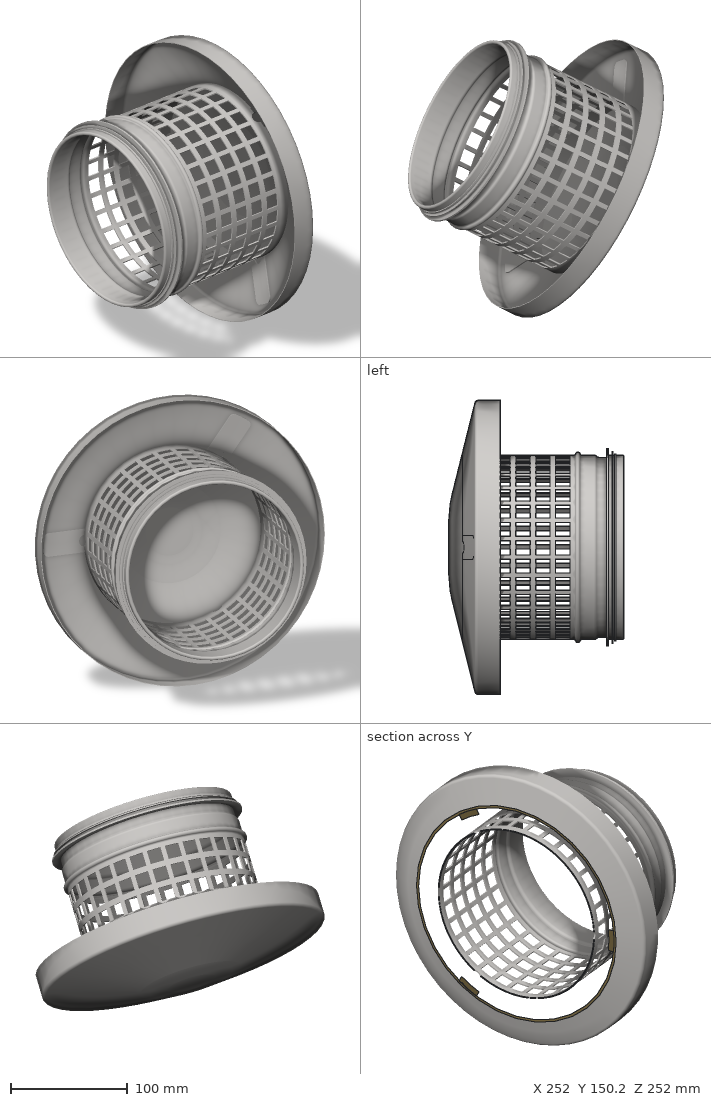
import cadquery as cq
import math


TOTAL_HEIGHT = 150.2

HOOD_RADIUS = 126.0
HOOD_SHEET = 0.63
HOOD_RIM_Y = 105.8
HOOD_SLOPE = math.radians(14)
CROWN_FLAT_RADIUS = 21.2
CROWN_ARC_END_RADIUS = 44.9
HOOD_EDGE_BEND = 3.0

TUBE_RADIUS = 79.0
TUBE_WALL = 1.3
TUBE_INNER_RADIUS = TUBE_RADIUS - TUBE_WALL
NECK_RADIUS = 77.0
NECK_INNER_RADIUS = NECK_RADIUS - TUBE_WALL
HEM_BEND = 1.5
HEM_TOP_Y = 6.8
SHOULDER_BOTTOM_Y = 21.5
SHOULDER_TOP_Y = 25.5
BEAD_Y = 39.45
BEAD_HALF_WIDTH = 3.4
BEAD_HEIGHT = 2.65
BEAD_CREST_BEND = 2.0

WINDOW_SIZE = 12.0
WINDOW_PITCH = 17.0
WINDOW_ROWS = 5
WINDOWS_PER_ROW = 31
FIRST_WINDOW_Y = 52.5
FIRST_WINDOW_ANGLE = 6.1

STRAP_ANGLES = (60, 180, 300)
STRAP_WIDTH = 20.55
STRAP_END_RADIUS = 117.7
STRAP_CORNER = 5.0
BEND_HOLE_RADIUS = 5.0

SEAL_TOP_Y = 14.9
SEAL_LIPS = ((6.8, 8.3, 80.0), (9.45, 10.2, 82.2), (13.4, SEAL_TOP_Y, 84.7))

CROWN_BEND = (CROWN_ARC_END_RADIUS - CROWN_FLAT_RADIUS) / math.sin(HOOD_SLOPE)
CROWN_CENTRE = (CROWN_FLAT_RADIUS, TOTAL_HEIGHT - CROWN_BEND)
EDGE_CENTRE_RADIUS = HOOD_RADIUS - HOOD_EDGE_BEND
EDGE_CENTRE = (
    EDGE_CENTRE_RADIUS,
    CROWN_CENTRE[1]
    + (CROWN_BEND - HOOD_EDGE_BEND) / math.cos(HOOD_SLOPE)
    - (EDGE_CENTRE_RADIUS - CROWN_FLAT_RADIUS) * math.tan(HOOD_SLOPE),
)
CONE_ANGLE = math.pi / 2 - HOOD_SLOPE


def on_circle(centre, radius, angle):
    """Point of a circle at an angle measured from the outward radial direction."""
    return (centre[0] + radius * math.cos(angle), centre[1] + radius * math.sin(angle))


def arc_points(centre, radius, start, end):
    """Middle and end point of an arc."""
    return on_circle(centre, radius, (start + end) / 2), on_circle(centre, radius, end)


def revolve(profile):
    return profile.close().revolve(360, (0, 0, 0), (0, 1, 0))


def hood_underside_y(radius):
    """Height of the conical underside of the hood."""
    return (
        CROWN_CENTRE[1]
        + (CROWN_BEND - HOOD_SHEET) / math.cos(HOOD_SLOPE)
        - (radius - CROWN_FLAT_RADIUS) * math.tan(HOOD_SLOPE)
    )


def make_hood():
    crown_inner = CROWN_BEND - HOOD_SHEET
    edge_inner = HOOD_EDGE_BEND - HOOD_SHEET
    profile = (
        cq.Workplane("XY")
        .moveTo(0, TOTAL_HEIGHT)
        .lineTo(CROWN_FLAT_RADIUS, TOTAL_HEIGHT)
        .threePointArc(*arc_points(CROWN_CENTRE, CROWN_BEND, math.pi / 2, CONE_ANGLE))
        .lineTo(*on_circle(EDGE_CENTRE, HOOD_EDGE_BEND, CONE_ANGLE))
        .threePointArc(*arc_points(EDGE_CENTRE, HOOD_EDGE_BEND, CONE_ANGLE, 0))
        .lineTo(HOOD_RADIUS, HOOD_RIM_Y)
        .lineTo(HOOD_RADIUS - HOOD_SHEET, HOOD_RIM_Y)
        .lineTo(*on_circle(EDGE_CENTRE, edge_inner, 0))
        .threePointArc(*arc_points(EDGE_CENTRE, edge_inner, 0, CONE_ANGLE))
        .lineTo(*on_circle(CROWN_CENTRE, crown_inner, CONE_ANGLE))
        .threePointArc(*arc_points(CROWN_CENTRE, crown_inner, CONE_ANGLE, math.pi / 2))
        .lineTo(0, TOTAL_HEIGHT - HOOD_SHEET)
    )
    return revolve(profile)


def make_tube_shell():
    """Plain tube, bead, shoulder, neck and rounded hem, without windows or straps."""
    tube_top = hood_underside_y(TUBE_RADIUS)

    inner_hem_centre = (NECK_INNER_RADIUS + HEM_BEND, HEM_BEND)
    outer_hem_centre = (TUBE_RADIUS - HEM_BEND, HEM_BEND)

    step = TUBE_RADIUS - NECK_RADIUS
    shoulder_length = SHOULDER_TOP_Y - SHOULDER_BOTTOM_Y
    shoulder_turn = 2 * math.atan(step / shoulder_length)
    shoulder_bend = shoulder_length / math.sin(shoulder_turn) / 2
    neck_bend_centre = (NECK_RADIUS + shoulder_bend, SHOULDER_BOTTOM_Y)
    tube_bend_centre = (TUBE_RADIUS - shoulder_bend, SHOULDER_TOP_Y)

    bead_turn = 2 * math.atan(BEAD_HEIGHT / BEAD_HALF_WIDTH)
    root_bend = BEAD_HALF_WIDTH / math.sin(bead_turn) - BEAD_CREST_BEND
    crest_centre = (TUBE_RADIUS + BEAD_HEIGHT - BEAD_CREST_BEND, BEAD_Y)
    lower_root_centre = (TUBE_RADIUS + root_bend, BEAD_Y - BEAD_HALF_WIDTH)
    upper_root_centre = (TUBE_RADIUS + root_bend, BEAD_Y + BEAD_HALF_WIDTH)

    back = math.pi
    profile = (
        cq.Workplane("XY")
        .moveTo(*on_circle(inner_hem_centre, HEM_BEND, back))
        .threePointArc(*arc_points(inner_hem_centre, HEM_BEND, back, 1.5 * back))
        .lineTo(outer_hem_centre[0], 0)
        .threePointArc(*arc_points(outer_hem_centre, HEM_BEND, -back / 2, 0))
        .lineTo(TUBE_RADIUS, HEM_TOP_Y)
        .lineTo(NECK_RADIUS, HEM_TOP_Y)
        .lineTo(NECK_RADIUS, SHOULDER_BOTTOM_Y)
        .threePointArc(*arc_points(neck_bend_centre, shoulder_bend, back, back - shoulder_turn))
        .threePointArc(*arc_points(tube_bend_centre, shoulder_bend, -shoulder_turn, 0))
        .lineTo(TUBE_RADIUS, BEAD_Y - BEAD_HALF_WIDTH)
        .threePointArc(*arc_points(lower_root_centre, root_bend, back, back - bead_turn))
        .threePointArc(*arc_points(crest_centre, BEAD_CREST_BEND, -bead_turn, bead_turn))
        .threePointArc(*arc_points(upper_root_centre, root_bend, back + bead_turn, back))
        .lineTo(TUBE_RADIUS, tube_top)
        .lineTo(TUBE_INNER_RADIUS, tube_top)
        .lineTo(TUBE_INNER_RADIUS, BEAD_Y + BEAD_HALF_WIDTH)
        .threePointArc(*arc_points(upper_root_centre, root_bend + TUBE_WALL, back, back + bead_turn))
        .threePointArc(*arc_points(crest_centre, BEAD_CREST_BEND - TUBE_WALL, bead_turn, -bead_turn))
        .threePointArc(*arc_points(lower_root_centre, root_bend + TUBE_WALL, back - bead_turn, back))
        .lineTo(TUBE_INNER_RADIUS, SHOULDER_TOP_Y)
        .threePointArc(*arc_points(tube_bend_centre, shoulder_bend - TUBE_WALL, 0, -shoulder_turn))
        .threePointArc(*arc_points(neck_bend_centre, shoulder_bend + TUBE_WALL, back - shoulder_turn, back))
    )
    return revolve(profile)


def make_strap():
    """Strap along +X that lies against the hood's conical underside, with rounded outer corners."""
    drop = TUBE_WALL / math.cos(HOOD_SLOPE)
    inner_y = hood_underside_y(TUBE_RADIUS)
    end_y = hood_underside_y(STRAP_END_RADIUS)
    cone_ring = revolve(
        cq.Workplane("XY")
        .moveTo(TUBE_RADIUS, inner_y)
        .lineTo(STRAP_END_RADIUS, end_y)
        .lineTo(STRAP_END_RADIUS, end_y - drop)
        .lineTo(TUBE_RADIUS, inner_y - drop)
    )
    blank = (
        cq.Workplane("XY")
        .box(STRAP_END_RADIUS, TOTAL_HEIGHT, STRAP_WIDTH, centered=(False, False, True))
        .edges("|Y and >X")
        .fillet(STRAP_CORNER)
    )
    return cone_ring.intersect(blank)


def make_bend_hole():
    """Cutter for the round hole across the bend between the tube and the strap along +X."""
    return cq.Workplane("XY").sphere(BEND_HOLE_RADIUS).translate(
        (TUBE_RADIUS, hood_underside_y(TUBE_RADIUS) - TUBE_WALL, 0)
    )


def around_axis(shape, angle):
    """Turns a shape about Y from +X towards +Z."""
    return shape.rotate((0, 0, 0), (0, 1, 0), -angle)


def make_window_cutters():
    cutter_depth = TUBE_RADIUS - TUBE_INNER_RADIUS + 5
    cutters = []
    for row in range(WINDOW_ROWS):
        place = (TUBE_RADIUS, FIRST_WINDOW_Y + row * WINDOW_PITCH, 0)
        cutter = cq.Workplane("XY").box(cutter_depth, WINDOW_SIZE, WINDOW_SIZE).translate(place)
        for column in range(WINDOWS_PER_ROW):
            angle = FIRST_WINDOW_ANGLE + column * 360 / WINDOWS_PER_ROW
            cutters.append(around_axis(cutter, angle).val())
    return cq.Workplane(cq.Compound.makeCompound(cutters))


def make_tube():
    tube = make_tube_shell().cut(make_window_cutters())
    strap = make_strap()
    bend_hole = make_bend_hole()
    for angle in STRAP_ANGLES:
        tube = tube.union(around_axis(strap, angle))
    for angle in STRAP_ANGLES:
        tube = tube.cut(around_axis(bend_hole, angle), clean=False)
    return tube


def make_seal():
    """Ring on the neck, between hem and lips, with three lips that grow towards the hood."""
    profile = cq.Workplane("XY").moveTo(NECK_RADIUS, HEM_TOP_Y)
    for bottom, top, radius in SEAL_LIPS:
        profile = (
            profile.lineTo(TUBE_RADIUS, bottom).lineTo(radius, bottom)
            .lineTo(radius, top).lineTo(TUBE_RADIUS, top)
        )
    return revolve(profile.lineTo(NECK_RADIUS, SEAL_TOP_Y))


hood = make_hood()
tube = make_tube()
seal = make_seal()
result = cq.Compound.makeCompound([hood.val(), tube.val(), seal.val()])